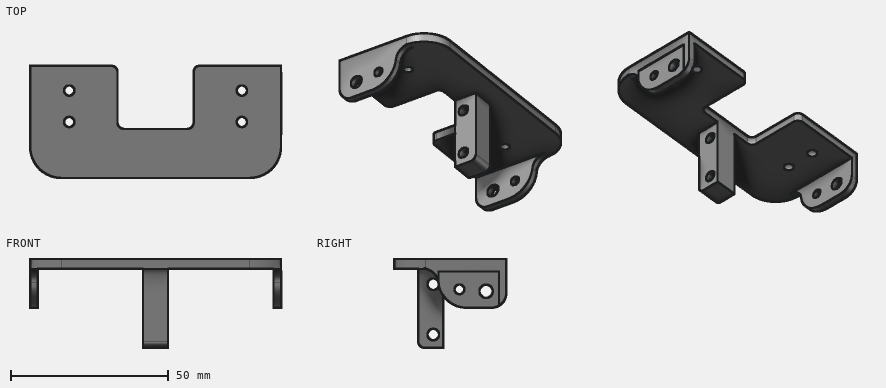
import cadquery as cq
import math

overall_width = 79.7
pad_thickness = 0.12
plate_width = overall_width - pad_thickness
plate_depth = 35.6
plate_thickness = 3.2
plate_corner_radius = 10.0
front_edge = -plate_depth

notch_width = 24.1
notch_depth = 20.0
notch_radius = 2.0

plate_hole_diameter = 3.2
plate_hole_inset = 12.4
plate_hole_first_depth = 7.9
plate_hole_pitch = 10.0

flange_thickness = 2.5
flange_height = 15.55
flange_back_radius = 4.8
flange_front_radius = 9.0
flange_front = -21.6
flange_curve_change = -7.5
flange_holes = [(-6.45, -10.3, 4.15), (-14.9, -9.65, 3.0)]

pad_back = -2.3
pad_top = -4.0

post_width = 8.0
post_depth = 8.0
post_bottom = -28.2
post_radius = 2.0
post_holes = [(-23.2, -8.05, 3.6), (-23.2, -24.0, 3.6)]


def point_on_circle(center, radius, angle):
    """Point on a circle at an angle in degrees."""
    turn = math.radians(angle)
    return center[0] + radius * math.cos(turn), center[1] + radius * math.sin(turn)


def make_plate():
    plate = cq.Workplane("XY").box(plate_width, plate_depth, plate_thickness, centered=(True, False, False))
    plate = plate.translate((0, front_edge, -plate_thickness))
    plate = plate.edges("|Z and <Y").fillet(plate_corner_radius)
    notch = cq.Workplane("XY").box(notch_width, notch_depth, plate_thickness, centered=(True, False, False))
    plate = plate.cut(notch.translate((0, -notch_depth, -plate_thickness)))
    half_width = notch_width / 2
    notch_corners = cq.selectors.BoxSelector(
        (-half_width - 0.8, -notch_depth - 0.8, -plate_thickness - 0.8),
        (half_width + 0.8, 0.8, 0.8),
    )
    return plate.edges("|Z").edges(notch_corners).fillet(notch_radius)


def make_plate_holes():
    hole_x = plate_width / 2 - plate_hole_inset
    centers = [
        (side * hole_x, -plate_hole_first_depth - row * plate_hole_pitch)
        for side in (-1, 1)
        for row in (0, 1)
    ]
    holes = cq.Workplane("XY").pushPoints(centers).circle(plate_hole_diameter / 2)
    return holes.extrude(-plate_thickness)


def make_flange(inner_x, thickness):
    """Flange with a rounded back corner and an S-curved front edge."""
    bottom = -flange_height
    back_center = (-flange_back_radius, bottom + flange_back_radius)
    front_center_z = bottom + flange_front_radius
    slope_sine = (front_center_z - flange_curve_change) / flange_front_radius
    slope_cosine = math.sqrt(1 - slope_sine**2)
    slope_angle = math.degrees(math.asin(slope_sine))
    front_center = (flange_front + flange_front_radius * slope_cosine, front_center_z)
    blend_radius = (-plate_thickness - flange_curve_change) / (1 - slope_sine)
    blend_center = (flange_front - blend_radius * slope_cosine, -plate_thickness - blend_radius)
    return (
        cq.Workplane("YZ", origin=(inner_x, 0, 0))
        .moveTo(0, -plate_thickness / 2)
        .lineTo(0, back_center[1])
        .threePointArc(point_on_circle(back_center, flange_back_radius, -45), (back_center[0], bottom))
        .lineTo(front_center[0], bottom)
        .threePointArc(
            point_on_circle(front_center, flange_front_radius, 225 + slope_angle / 2),
            (flange_front, flange_curve_change),
        )
        .threePointArc(
            point_on_circle(blend_center, blend_radius, 45 + slope_angle / 2),
            (blend_center[0], -plate_thickness),
        )
        .lineTo(flange_front, -plate_thickness / 2)
        .close()
        .extrude(thickness)
    )


def make_pad():
    """Raised area that follows the rounded lower outline of the flange."""
    outline = make_flange(plate_width / 2, pad_thickness)
    length = pad_back - flange_front
    height = pad_top + flange_height
    area = cq.Workplane("XY").box(pad_thickness, length, height, centered=False)
    return outline.intersect(area.translate((plate_width / 2, flange_front, -flange_height)))


def make_post():
    height = -plate_thickness - post_bottom
    post = cq.Workplane("XY").box(post_width, post_depth, height, centered=(True, False, False))
    post = post.translate((0, -notch_depth - post_depth, post_bottom))
    return post.edges("|X and <Y and <Z").fillet(post_radius)


def cut_cross_holes(body, holes, reach):
    """Cut holes along X, given as (Y, Z, diameter), reaching equally to both sides of X = 0."""
    for y, z, diameter in holes:
        cutter = cq.Workplane("YZ").center(y, z).circle(diameter / 2).extrude(reach, both=True)
        body = body.cut(cutter)
    return body


bracket = (
    make_plate()
    .union(make_flange(-plate_width / 2, flange_thickness))
    .union(make_flange(plate_width / 2 - flange_thickness, flange_thickness))
    .union(make_pad())
    .union(make_post())
    .cut(make_plate_holes())
)
bracket = cut_cross_holes(bracket, flange_holes, overall_width)
result = cut_cross_holes(bracket, post_holes, post_width)